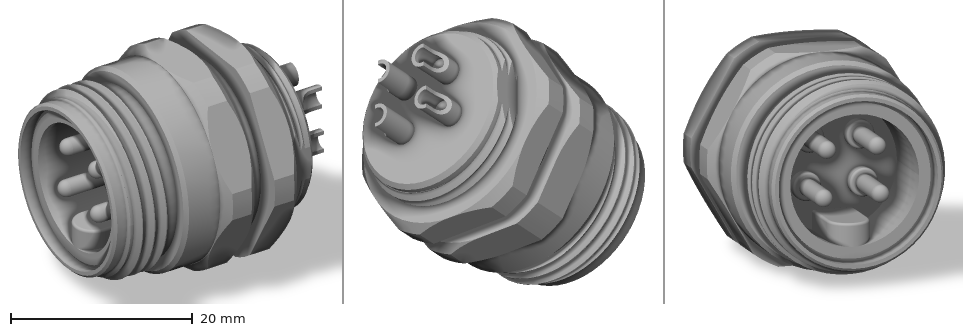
import cadquery as cq
import math


collar_radius = 10.0
collar_end = 1.55
rim_chamfer = 0.3
front_root_radius = 10.2
front_crest_radius = 11.1
front_pitch = 25.4 / 16
front_crest_y = 5.69
front_thread_end = 6.5
front_flank_angle = 30
front_crest_flat = 0.12
ring_radius = 11.92
ring_start = 8.0
ring_chamfer = 0.45

hex_half_angle = math.radians(30)
hex_flats = 24.0
hex_corner_diameter = 26.0
hex_chamfer = 1.0
front_hex_start = 12.5
front_hex_end = 17.0
nut_start = 19.0
nut_end = 22.55

seal_outer_radius = 10.75
seal_section_radius = 0.93

rear_root_radius = 9.53
rear_crest_radius = 10.2
rear_pitch = 1.41
rear_crest_y = 23.78
rear_thread_end = 25.3
rear_flank_angle = 43
rear_crest_flat = 0.02
rear_chamfer = 0.5
rear_flat_distance = 9.32
body_end = 26.5

mouth_radius = 9.27
mouth_depth = 1.5
insert_radius = 8.84
insert_face_y = 1.2
socket_radius = 7.5
socket_depth = 8.7
key_half_width = 2.4
key_top_z = -4.85
key_fillet = 0.3

contact_positions = [(-2.92, 3.5), (2.92, 3.5), (-3.3, -1.95), (3.3, -1.95)]
pin_radius = 1.0
pin_boss_radius = 1.63
pin_boss_height = 1.2
pin_boss_fillet = 0.28
cup_radius = 1.4
cup_bore_radius = 0.93
cup_end = 31.5
cup_bore_depth = 3.2
cup_wall_offset = 0.24
cup_cut_start = 28.2
cup_cut_radius = 1.9

ridge_embed = 0.03
overlap = 0.1


def disc(radius, start, end, x=0, z=0):
    """Cylinder along +Y from start to end."""
    base = cq.Workplane("XZ", origin=(x, start, z))
    return base.circle(radius).extrude(start - end)


def revolve_profile(points):
    """Turn a closed (radius, y) profile around the Y axis."""
    return cq.Workplane("XY").polyline(points).close().revolve(360, (0, 0, 0), (0, 1, 0))


def thread_ridge(root_radius, crest_radius, flank_angle, crest_flat, pitch, crest_y, start, end):
    """Right-hand flat-topped V ridge around Y, one crest at crest_y on +Z, covering start to end."""
    base_radius = root_radius - ridge_embed
    half_base = (crest_radius - base_radius) * math.tan(math.radians(flank_angle)) + crest_flat / 2
    turns_before = math.ceil((crest_y - start) / pitch) + 1
    turns_after = math.ceil((end - crest_y) / pitch) + 1
    first_crest = -turns_before * pitch
    length = (turns_before + turns_after) * pitch
    path = cq.Wire.makeHelix(pitch, length, base_radius, center=cq.Vector(0, 0, first_crest))
    profile = (
        cq.Workplane("XZ")
        .moveTo(base_radius, first_crest - half_base)
        .lineTo(crest_radius, first_crest - crest_flat / 2)
        .lineTo(crest_radius, first_crest + crest_flat / 2)
        .lineTo(base_radius, first_crest + half_base)
        .close()
    )
    ridge = profile.sweep(cq.Workplane(path), isFrenet=True)
    ridge = ridge.rotate((0, 0, 0), (0, 0, 1), 90).rotate((0, 0, 0), (1, 0, 0), -90)
    ridge = ridge.rotate((0, 0, 0), (0, 1, 0), 180)
    return ridge.translate((0, crest_y, 0))


def front_thread():
    ridge = thread_ridge(
        front_root_radius, front_crest_radius, front_flank_angle,
        front_crest_flat, front_pitch, front_crest_y, collar_end, front_thread_end,
    )
    lead_in = front_crest_radius - collar_radius
    envelope = revolve_profile([
        (0, collar_end),
        (collar_radius, collar_end),
        (front_crest_radius + overlap, collar_end + lead_in + overlap),
        (front_crest_radius + overlap, front_thread_end),
        (0, front_thread_end),
    ])
    return ridge.intersect(envelope)


def rear_thread():
    thread_start = nut_end - rear_pitch
    ridge = thread_ridge(
        rear_root_radius, rear_crest_radius, rear_flank_angle,
        rear_crest_flat, rear_pitch, rear_crest_y, thread_start, rear_thread_end,
    )
    lead_in = rear_crest_radius - rear_root_radius
    envelope = revolve_profile([
        (0, thread_start),
        (rear_crest_radius + overlap, thread_start),
        (rear_crest_radius + overlap, rear_thread_end - lead_in - overlap),
        (rear_root_radius, rear_thread_end),
        (0, rear_thread_end),
    ])
    return ridge.intersect(envelope)


def hex_prism(start, end):
    """Sharp-cornered hexagon with flats on +-Z."""
    across_corners = hex_flats / math.cos(hex_half_angle)
    return cq.Workplane("XZ", origin=(0, start, 0)).polygon(6, across_corners).extrude(start - end)


def front_hexagon():
    """Hexagon chamfered at both ends, except at its square-ended (-X, -Z) corner."""
    start = front_hex_start
    end = front_hex_end
    blank = disc(hex_corner_diameter / 2, start, end)
    chamfered = hex_prism(start, end).intersect(blank.faces("<Y or >Y").chamfer(hex_chamfer))
    apothem = hex_flats / 2
    flat_middle = (-apothem * math.cos(hex_half_angle), -apothem * math.sin(hex_half_angle))
    corner = (-apothem * math.tan(hex_half_angle), -apothem)
    kite = (
        cq.Workplane("XZ", origin=(0, start, 0))
        .polyline([(0, 0), flat_middle, corner, (0, -apothem)])
        .close()
        .extrude(start - end)
    )
    return chamfered.cut(kite).union(kite.intersect(blank))


def nut():
    """Hexagon nut chamfered at its rear end only."""
    blank = disc(hex_corner_diameter / 2, nut_start, nut_end).faces(">Y").chamfer(hex_chamfer)
    return hex_prism(nut_start, nut_end).intersect(blank)


def seal():
    """Ring of round section lying against the nut."""
    centre_radius = seal_outer_radius - seal_section_radius
    plane = cq.Plane(
        origin=(centre_radius, nut_start - seal_section_radius, 0),
        xDir=(-1, 0, 0),
        normal=(0, 0, 1),
    )
    section = cq.Workplane(plane).circle(seal_section_radius)
    return section.revolve(360, (centre_radius, 0, 0), (centre_radius, 1, 0))


def rear_flats():
    """Material outside the two flats on +-X, behind the nut."""
    reach = rear_crest_radius + overlap
    length = body_end - nut_end
    width = reach - rear_flat_distance
    waste = cq.Workplane("XY")
    for side in (-1, 1):
        x = side * (rear_flat_distance + width / 2)
        waste = waste.union(
            cq.Workplane("XY").box(width, length, 2 * reach).translate((x, nut_end + length / 2, 0))
        )
    return waste


def shell():
    body = disc(collar_radius, 0, collar_end).faces("<Y").chamfer(rim_chamfer)
    front_root = disc(front_root_radius, collar_end, ring_start)
    body = body.union(front_root.faces("<Y").chamfer(front_root_radius - collar_radius))
    body = body.union(disc(ring_radius, ring_start, front_hex_start).faces("<Y").chamfer(ring_chamfer))
    body = body.union(disc(rear_root_radius, front_hex_start, body_end).faces(">Y").chamfer(rear_chamfer))
    body = body.union(front_thread())
    body = body.union(rear_thread())
    body = body.cut(rear_flats())
    body = body.union(front_hexagon())
    body = body.union(nut())
    return body.union(seal())


def socket():
    return revolve_profile([
        (0, 0),
        (mouth_radius, 0),
        (mouth_radius, mouth_depth),
        (insert_radius, mouth_depth),
        (insert_radius, insert_face_y),
        (socket_radius, insert_face_y),
        (socket_radius, socket_depth),
        (0, socket_depth),
    ])


def key():
    """Round-nosed polarising key standing on the lower socket wall."""
    key_bottom_z = -(socket_radius + overlap)
    centre_y = insert_face_y + key_half_width
    back_y = socket_depth + overlap
    block = (
        cq.Workplane("XY", origin=(0, 0, key_bottom_z))
        .moveTo(-key_half_width, back_y)
        .lineTo(-key_half_width, centre_y)
        .threePointArc((0, insert_face_y), (key_half_width, centre_y))
        .lineTo(key_half_width, back_y)
        .close()
        .extrude(key_top_z - key_bottom_z)
    )
    block = block.faces(">Z").edges().fillet(key_fillet)
    return block.intersect(disc(socket_radius + overlap, insert_face_y, back_y))


def pin(x, z):
    """Round-tipped contact pin with a raised collar on the socket floor."""
    floor = socket_depth + overlap
    shaft = disc(pin_radius, insert_face_y + pin_radius, floor, x, z)
    tip = cq.Workplane("XY").sphere(pin_radius).translate((x, insert_face_y + pin_radius, z))
    boss = disc(pin_boss_radius, socket_depth - pin_boss_height, floor, x, z)
    boss = boss.faces("<Y").edges().fillet(pin_boss_fillet)
    return shaft.union(tip).union(boss)


def solder_cup(x, z):
    """Hollow solder tail with its outward side cut open."""
    outward = math.copysign(1, x)
    cut_x = x + outward * cup_wall_offset
    outer_x = x + outward * (cup_wall_offset + cup_cut_radius)
    half_turn = math.sqrt(0.5) * cup_cut_radius
    arc_mid = (outer_x - outward * half_turn, cup_cut_start + cup_cut_radius - half_turn)
    opening = (
        cq.Workplane("XY", origin=(0, 0, z - cup_radius))
        .moveTo(cut_x, cup_end)
        .lineTo(cut_x, cup_cut_start + cup_cut_radius)
        .threePointArc(arc_mid, (outer_x, cup_cut_start))
        .lineTo(outer_x, cup_end)
        .close()
        .extrude(2 * cup_radius)
    )
    tail = disc(cup_radius, body_end - overlap, cup_end, x, z)
    tail = tail.cut(disc(cup_bore_radius, cup_end - cup_bore_depth, cup_end, x, z))
    return tail.cut(opening)


result = shell().cut(socket()).union(key())
for contact_x, contact_z in contact_positions:
    result = result.union(pin(contact_x, contact_z))
    result = result.union(solder_cup(contact_x, contact_z))